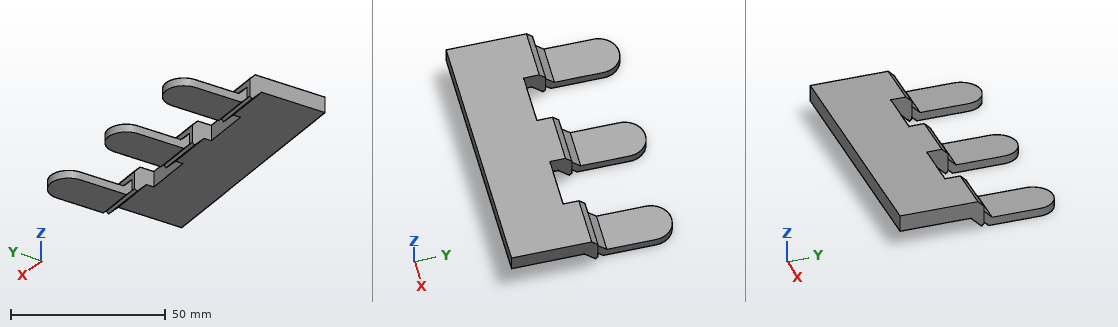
import cadquery as cq

length = 87.0
depth = 55.7
height = 10.9

bar_depth = 21.6
bar_thickness = 5.8
bar_underside = height - bar_thickness
root_width = 17.2
root_end = 28.9
root_chamfer = 2.1
root_bend_start = 24.4

pin_count = 3
pin_width = 13.9
pin_thickness = 3.0
pin_upper_bend = 32.3
pin_lower_bend = 31.1
pin_radius = pin_width / 2
pitch = (length - root_width) / (pin_count - 1)

pin_top_at_root = pin_thickness + pin_upper_bend - root_end
pin_bottom_at_root = pin_lower_bend - root_end

underside_slope_sum = root_bend_start + bar_underside
bevel_slope_difference = root_end - pin_bottom_at_root
tip_y = (underside_slope_sum + bevel_slope_difference) / 2
tip_z = underside_slope_sum - tip_y


def extrude_profile(points, width, center_x):
    """Extrude a closed YZ outline to the given width, centred on center_x."""
    return (
        cq.Workplane("YZ", origin=(center_x, 0, 0))
        .polyline(points)
        .close()
        .extrude(width / 2, both=True)
    )


def make_root(center_x):
    """Wide root that continues the bar and bends downward."""
    points = [
        (0, bar_underside),
        (root_bend_start, bar_underside),
        (tip_y, tip_z),
        (root_end, pin_bottom_at_root),
        (root_end, height - root_chamfer),
        (root_end - root_chamfer, height),
        (0, height),
    ]
    return extrude_profile(points, root_width, center_x)


def make_pin(center_x):
    """Narrow pin that slopes down from the root and runs level to a rounded end."""
    points = [
        (root_end, pin_bottom_at_root),
        (pin_lower_bend, 0),
        (depth, 0),
        (depth, pin_thickness),
        (pin_upper_bend, pin_thickness),
        (root_end, pin_top_at_root),
    ]
    pin = extrude_profile(points, pin_width, center_x)
    arc_start = depth - pin_radius
    rounded_outline = (
        cq.Workplane("XY")
        .moveTo(center_x - pin_radius, root_end)
        .lineTo(center_x + pin_radius, root_end)
        .lineTo(center_x + pin_radius, arc_start)
        .threePointArc((center_x, depth), (center_x - pin_radius, arc_start))
        .close()
        .extrude(height)
    )
    return pin.intersect(rounded_outline)


result = cq.Workplane("XY", origin=(0, 0, bar_underside)).box(
    length, bar_depth, bar_thickness, centered=(True, False, False)
)
for index in range(pin_count):
    pin_x = (index - (pin_count - 1) / 2) * pitch
    result = result.union(make_root(pin_x)).union(make_pin(pin_x))
result = result.clean()